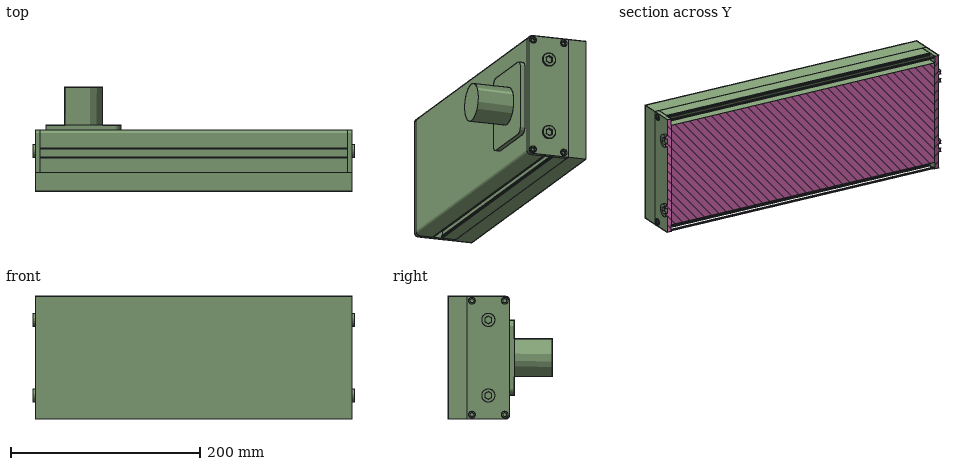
import cadquery as cq
import math

TOTAL_LENGTH = 340.0
HEIGHT = 130.0
KNOB_PROJECTION = 2.5
BODY_LENGTH = TOTAL_LENGTH - 2 * KNOB_PROJECTION

PANEL_DEPTH = 20.0
HOUSING_DEPTH = 45.0
FLANGE_THICKNESS = 5.0
BARREL_LENGTH = 40.0
HOUSING_BACK = PANEL_DEPTH + HOUSING_DEPTH
FLANGE_BACK = HOUSING_BACK + FLANGE_THICKNESS

CAP_THICKNESS = 5.0
BACK_EDGE_RADIUS = 4.5
HOUSING_LENGTH = BODY_LENGTH - 2 * CAP_THICKNESS

SLOT_CENTRE_Y = 40.5
SLOT_RELIEF_WIDTH = 10.2
SLOT_RELIEF_DEPTH = 0.7
SLOT_MOUTH_WIDTH = 8.5
SLOT_LIP_DEPTH = 2.5
SLOT_CAVITY_WIDTH = 10.2
SLOT_DEPTH = 7.5

KNOB_DIAMETER = 14.0
KNOB_SPACING = 80.0
KNOB_CENTRE_Y = PANEL_DEPTH + HOUSING_DEPTH / 2
KNOB_SOCKET_FLATS = 7.0
KNOB_SOCKET_DEPTH = 2.7

SCREW_INSET_Y = 5.0
SCREW_INSET_Z = 4.8
SCREW_SEAT_DIAMETER = 7.0
SCREW_SEAT_DEPTH = 0.5
SCREW_SOCKET_FLATS = 4.0
SCREW_SOCKET_DEPTH = 3.0

CONNECTOR_FROM_LEFT_END = 51.0
CONNECTOR_X = CONNECTOR_FROM_LEFT_END - BODY_LENGTH / 2
FLANGE_SIDE = 79.5
FLANGE_CORNER_RADIUS = 7.8
BARREL_DIAMETER = 40.0


def hexagon_sockets(points, face_x, across_flats, depth):
    """Hexagonal bars running in +X from a face, centred on (y, z) points, one corner up."""
    corner_diameter = across_flats / math.cos(math.pi / 6)
    face = cq.Plane(origin=(face_x, 0, 0), xDir=(0, 0, 1), normal=(1, 0, 0))
    face_points = [(z, -y) for y, z in points]
    return cq.Workplane(face).pushPoints(face_points).polygon(6, corner_diameter).extrude(depth)


def profile_block(start_x, length):
    """Length of the housing profile, with its two back edges rounded."""
    block = cq.Workplane("XY").box(length, HOUSING_DEPTH, HEIGHT, centered=(False, False, True))
    block = block.edges("|X and >Y").fillet(BACK_EDGE_RADIUS)
    return block.translate((start_x, PANEL_DEPTH, 0))


def slot_cut(width, top_depth, bottom_depth):
    """Bar that cuts the upper side of the housing between two depths."""
    return (
        cq.Workplane("XY", origin=(0, SLOT_CENTRE_Y, HEIGHT / 2 - bottom_depth))
        .rect(HOUSING_LENGTH, width)
        .extrude(bottom_depth - top_depth)
    )


def make_front_panel():
    return cq.Workplane("XY").box(BODY_LENGTH, PANEL_DEPTH, HEIGHT, centered=(True, False, True))


def make_housing():
    housing = profile_block(-HOUSING_LENGTH / 2, HOUSING_LENGTH)
    slot = (
        slot_cut(SLOT_RELIEF_WIDTH, 0, SLOT_RELIEF_DEPTH)
        .union(slot_cut(SLOT_MOUTH_WIDTH, 0, SLOT_LIP_DEPTH))
        .union(slot_cut(SLOT_CAVITY_WIDTH, SLOT_LIP_DEPTH, SLOT_DEPTH))
    )
    return housing.cut(slot).cut(slot.mirror("XY"))


def make_left_cap():
    """End cap at the -X end, with two socketed knobs and four screw seats."""
    outer_x = -BODY_LENGTH / 2
    cap = profile_block(outer_x, CAP_THICKNESS)

    knob_points = [(KNOB_CENTRE_Y, side * KNOB_SPACING / 2) for side in (-1, 1)]
    screw_points = [
        (y, side * (HEIGHT / 2 - SCREW_INSET_Z))
        for y in (PANEL_DEPTH + SCREW_INSET_Y, HOUSING_BACK - SCREW_INSET_Y)
        for side in (-1, 1)
    ]

    cap_face = cq.Workplane("YZ", origin=(outer_x, 0, 0))
    knobs = cap_face.pushPoints(knob_points).circle(KNOB_DIAMETER / 2).extrude(-KNOB_PROJECTION)
    seats = cap_face.pushPoints(screw_points).circle(SCREW_SEAT_DIAMETER / 2).extrude(SCREW_SEAT_DEPTH)
    knob_sockets = hexagon_sockets(
        knob_points, outer_x - KNOB_PROJECTION, KNOB_SOCKET_FLATS, KNOB_SOCKET_DEPTH
    )
    screw_sockets = hexagon_sockets(
        screw_points, outer_x, SCREW_SOCKET_FLATS, SCREW_SOCKET_DEPTH
    )
    return cap.union(knobs).cut(seats).cut(knob_sockets).cut(screw_sockets)


def make_connector():
    flange = (
        cq.Workplane("XY")
        .box(FLANGE_SIDE, FLANGE_THICKNESS, FLANGE_SIDE, centered=(True, False, True))
        .edges("|Y")
        .fillet(FLANGE_CORNER_RADIUS)
        .translate((CONNECTOR_X, HOUSING_BACK, 0))
    )
    barrel = (
        cq.Workplane("XZ", origin=(CONNECTOR_X, FLANGE_BACK, 0))
        .circle(BARREL_DIAMETER / 2)
        .extrude(-BARREL_LENGTH)
    )
    return flange.union(barrel)


front_panel = make_front_panel()
housing = make_housing()
left_cap = make_left_cap()
end_caps = [left_cap, left_cap.mirror("YZ")]
connector = make_connector()

result = cq.Compound.makeCompound(
    [front_panel.val(), housing.val(), *[cap.val() for cap in end_caps], connector.val()]
)